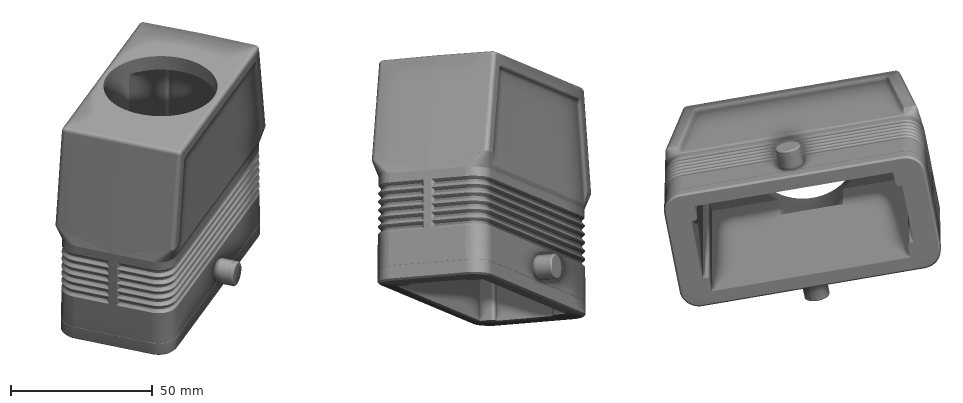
import cadquery as cq

length = 93.5
width = 43.3
height = 81.25
corner_radius = 6.9

foot_height = 5.3
foot_chamfer = 0.7
seam_height = 0.3
seam_depth = 0.14

base_top = 38.5
base_draft = 0.3

groove_count = 6
groove_pitch = 3.0
groove_depth = 1.0
groove_floor = 0.7
groove_mouth = groove_floor + 2 * groove_depth
lowest_groove = 17.6
grip_bar_width = 3.1

hood_bottom = 44.0
hood_width = 45.3
hood_edge_radius = 1.5
end_slope = 0.177
end_peak = 0.3
roof_peak = 0.14

panel_depth = 0.9
panel_top = 76.4
panel_margin = 5.05
panel_bevel = 0.9
panel_edge_rounding = 1.0
panel_corner_radius = 1.4

cavity_width = 32.9
cavity_length = 71.1
cavity_top = 75.6
bay_width = 22.1
bay_length = 75.55
bay_edge_radius = 1.2
entry_diameter = 40.2
entry_bottom = 61.2

pin_span = 58.0
pin_diameter = 9.0
pin_height = 9.8
pin_chamfer = 0.4
pin_neck_diameter = 8.4
pin_neck_end = 22.4
pin_ring_place = 27.3
pin_ring_width = 0.4
pin_ring_depth = 0.14

half_length_at_base_top = length / 2 - base_draft
panel_floor_x = hood_width / 2 - panel_depth
tolerance = 0.01


def end_wall(z):
    """Distance from the middle to the peak of the sloping end wall at height z."""
    return half_length_at_base_top - end_slope * (z - base_top)


def rounded_rectangle(size_x, size_y, radius):
    return cq.Sketch().rect(size_x, size_y).vertices().fillet(radius)


def base_outline(inset):
    """Outline of the base with its walls moved in by the inset."""
    return rounded_rectangle(width - 2 * inset, length - 2 * inset, corner_radius - inset)


def draft_at(z):
    """Inward lean of the base wall at height z."""
    return base_draft * (z - foot_height) / (base_top - foot_height)


def lift(sketch, distance):
    return sketch.moved(cq.Location(cq.Vector(0, 0, distance)))


def slab(z_low, outline_low, z_high, outline_high):
    """Solid with straight walls between two outlines at two heights."""
    return (
        cq.Workplane("XY", origin=(0, 0, z_low))
        .placeSketch(outline_low, lift(outline_high, z_high - z_low))
        .loft(ruled=True)
    )


def ring_around(core, z_low, z_high):
    """Cutter that leaves only the core standing between two heights."""
    block = (
        cq.Workplane("XY", origin=(0, 0, z_low))
        .rect(2 * width, 2 * length)
        .extrude(z_high - z_low)
    )
    return block.cut(core)


def make_base():
    foot = cq.Workplane("XY").placeSketch(base_outline(0)).extrude(foot_height)
    foot = foot.faces("<Z").chamfer(foot_chamfer)
    seam_core = cq.Workplane("XY").placeSketch(base_outline(seam_depth)).extrude(foot_height)
    foot = foot.cut(ring_around(seam_core, foot_height - seam_height, foot_height))
    return foot.union(slab(foot_height, base_outline(0), base_top, base_outline(base_draft)))


def make_grip_bars():
    """Upright bars with bevelled flanks that stop the grooves at the middle of each end."""
    half_bar = grip_bar_width / 2
    root = 2 * groove_depth
    bar = (
        cq.Workplane("XY")
        .polyline(
            [
                (-half_bar, length),
                (-half_bar, half_length_at_base_top),
                (-half_bar - root, half_length_at_base_top - root),
                (half_bar + root, half_length_at_base_top - root),
                (half_bar, half_length_at_base_top),
                (half_bar, length),
            ]
        )
        .close()
        .extrude(base_top)
    )
    return bar.union(bar.mirror("XZ"))


def make_grip_groove(z_low):
    """Trapezoid groove around the base, open to the outside."""
    z_high = z_low + groove_mouth
    floor_low = z_low + groove_depth
    floor_high = z_high - groove_depth
    mouth_low = base_outline(draft_at(z_low))
    mouth_high = base_outline(draft_at(z_high))
    floor = base_outline(draft_at((z_low + z_high) / 2) + groove_depth)
    core = (
        slab(z_low, mouth_low, floor_low, floor)
        .union(slab(floor_low, floor, floor_high, floor))
        .union(slab(floor_high, floor, z_high, mouth_high))
    )
    return ring_around(core, z_low, z_high)


def make_flare():
    """Widening between the base and the hood."""
    hood_length = 2 * (end_wall(hood_bottom) - end_peak)
    top = rounded_rectangle(hood_width, hood_length, hood_edge_radius)
    return slab(base_top, base_outline(base_draft), hood_bottom, top)


def hood_outline(z):
    """Outline of the hood at height z, with a peak at the middle of each end."""
    peak = end_wall(z)
    side = peak - end_peak
    x = hood_width / 2
    return cq.Sketch().polygon(
        [(-x, side), (-x, -side), (0, -peak), (x, -side), (x, side), (0, peak), (-x, side)]
    )


def is_outer_hood_edge(edge):
    """True for the corner and roof edges, but not the middle ridges or the underside."""
    center = edge.Center()
    return abs(center.x) > hood_edge_radius and center.z > hood_bottom


def make_hood(recess):
    x = hood_width / 2
    body = slab(base_top, hood_outline(base_top), height, hood_outline(height))
    eaves = height - roof_peak
    gable = (
        cq.Workplane("XZ")
        .polyline([(-x, base_top), (x, base_top), (x, eaves), (0, height), (-x, eaves)])
        .close()
        .extrude(length, both=True)
    )
    body = body.intersect(gable).edges().filter(is_outer_hood_edge).fillet(hood_edge_radius)
    body = body.cut(recess).cut(recess.mirror("YZ"))
    body = body.edges().filter(is_panel_rim).fillet(panel_edge_rounding)

    shoulder = x - hood_edge_radius
    below = (
        cq.Workplane("XZ")
        .polyline(
            [
                (0, base_top),
                (shoulder, hood_bottom),
                (width, hood_bottom),
                (width, 0),
                (-width, 0),
                (-width, hood_bottom),
                (-shoulder, hood_bottom),
            ]
        )
        .close()
        .extrude(length, both=True)
    )
    return body.cut(below)


def panel_outline(inset):
    """Outline of a side panel in Y and Z, running down past the flare."""
    top = panel_top - inset
    top_y = end_wall(top) - panel_margin - inset
    bottom_y = end_wall(base_top) - panel_margin - inset
    outline = cq.Sketch().polygon(
        [
            (-bottom_y, base_top),
            (bottom_y, base_top),
            (top_y, top),
            (-top_y, top),
            (-bottom_y, base_top),
        ]
    )
    return outline.reset().vertices(">Y").fillet(panel_corner_radius)


def is_floor_border(edge):
    """True for the border of the panel floor, except its open lower end."""
    center = edge.Center()
    return abs(center.x - panel_floor_x) < tolerance and center.z > base_top + tolerance


def is_panel_rim(edge):
    """True for the border of a panel in the side face of the hood."""
    center = edge.Center()
    in_side_face = abs(abs(center.x) - hood_width / 2) < tolerance
    within_panel = abs(center.y) < end_wall(center.z) - panel_margin + tolerance
    return in_side_face and within_panel and base_top + tolerance < center.z < panel_top + tolerance


def make_panel_recess():
    """Cutter for the recess with bevelled borders on the +X side."""
    recess = (
        cq.Workplane("YZ", origin=(panel_floor_x, 0, 0))
        .placeSketch(panel_outline(panel_bevel), lift(panel_outline(0), panel_depth))
        .loft(ruled=True)
    )
    return recess.edges().filter(is_floor_border).fillet(panel_edge_rounding)


def make_pin():
    """Locking pin on the +X side, rooted in the wall."""
    root = cavity_width / 2
    tip = pin_span / 2
    ring_end = pin_ring_place + pin_ring_width
    radius = pin_diameter / 2
    neck_radius = pin_neck_diameter / 2
    ring_radius = radius - pin_ring_depth
    profile = [
        (root, 0),
        (root, neck_radius),
        (pin_neck_end, neck_radius),
        (pin_neck_end, radius),
        (pin_ring_place, radius),
        (pin_ring_place, ring_radius),
        (ring_end, ring_radius),
        (ring_end, radius),
        (tip - pin_chamfer, radius),
        (tip, radius - pin_chamfer),
        (tip, 0),
    ]
    return (
        cq.Workplane("XY", origin=(0, 0, pin_height))
        .polyline(profile)
        .close()
        .revolve(360, (0, 0, 0), (1, 0, 0))
    )


def is_bay_edge(edge):
    """True where a bay wall meets the end wall of the chamber."""
    center = edge.Center()
    on_bay_wall = abs(abs(center.x) - bay_width / 2) < tolerance
    on_chamber_end = abs(abs(center.y) - cavity_length / 2) < tolerance
    return on_bay_wall and on_chamber_end


def make_cavity():
    """Inside of the hood, open at the bottom, with the cable entry through the roof."""
    chamber = cq.Workplane("XY").rect(cavity_width, cavity_length).extrude(cavity_top)
    bays = cq.Workplane("XY").rect(bay_width, bay_length).extrude(cavity_top)
    inside = chamber.union(bays)
    inside = inside.edges("|Z").filter(is_bay_edge).fillet(bay_edge_radius)
    entry = (
        cq.Workplane("XY", origin=(0, 0, entry_bottom))
        .circle(entry_diameter / 2)
        .extrude(height - entry_bottom)
    )
    return inside.union(entry)


body = make_base()
grip_bars = make_grip_bars()
for index in range(groove_count):
    groove = make_grip_groove(lowest_groove + index * groove_pitch)
    body = body.cut(groove.cut(grip_bars))

recess = make_panel_recess()
flare = make_flare().cut(recess).cut(recess.mirror("YZ"))
body = body.union(flare).union(make_hood(recess))

pin = make_pin()
body = body.union(pin).union(pin.mirror("YZ"))

result = body.cut(make_cavity())